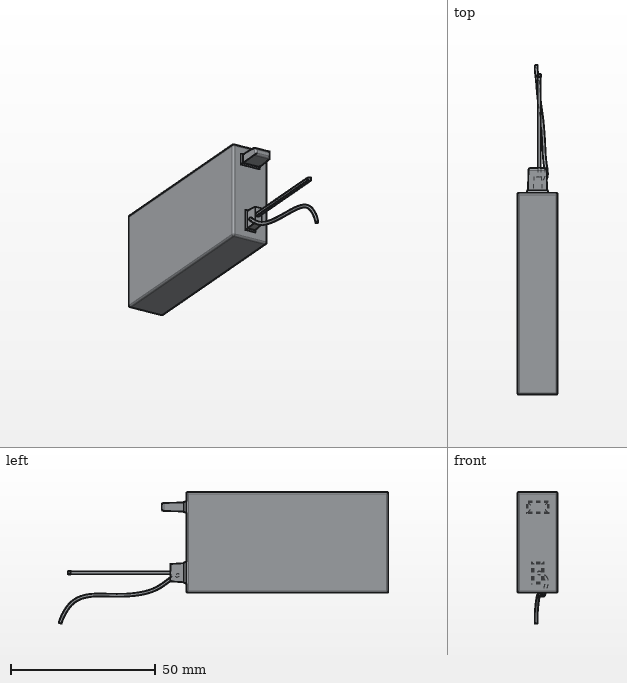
import cadquery as cq

CASE_WIDTH = 14.0
CASE_LENGTH = 70.0
CASE_HEIGHT = 35.0
CASE_FILLET = 0.7

FLANGE_WIDE_SIDE = 7.7
FLANGE_NARROW_SIDE = 4.2
FLANGE_THICKNESS = 0.8
FLANGE_TAPER = 24.0
BODY_WIDE_SIDE = 6.8
BODY_NARROW_SIDE = 3.3
TAB_Z = 29.75
TAB_LENGTH = 8.5
TAB_TAPER = 1.8
TAB_TIP_FILLET = 0.75
BOOT_Z = 7.0
BOOT_LENGTH = 5.5
BOOT_TAPER = 3.6

WIRE_THICKNESS = 1.1
WIRE_EMBED = 1.0
STRAIGHT_WIRE_X = 0.6
STRAIGHT_WIRE_Z = 7.0
STRAIGHT_WIRE_END_Y = 110.4
STRAIGHT_WIRE_TIP_RADIUS = 0.7

BENT_WIRE_PATH = [
    (0.8, 72.6, 6.4),
    (2.95, 75.4, 4.8),
    (2.7, 79.6, 1.9),
    (2.15, 87.0, -0.4),
    (1.4, 96.0, -0.8),
    (0.4, 103.7, -0.95),
    (0.0, 108.5, -2.65),
    (-0.35, 111.5, -5.85),
    (-0.4, 113.69, -10.49),
]


def end_plane(z, y=CASE_LENGTH):
    """Plane facing +Y, centred on the case width at height z."""
    return cq.Workplane(cq.Plane(origin=(0, y, z), xDir=(1, 0, 0), normal=(0, 1, 0)))


def make_case():
    box = cq.Workplane("XY").box(CASE_WIDTH, CASE_LENGTH, CASE_HEIGHT, centered=(True, False, False))
    return box.edges().fillet(CASE_FILLET)


def make_flange(z, width, height):
    return end_plane(z).rect(width, height).extrude(FLANGE_THICKNESS, taper=FLANGE_TAPER)


def make_tab():
    body = end_plane(TAB_Z).rect(BODY_WIDE_SIDE, BODY_NARROW_SIDE).extrude(TAB_LENGTH, taper=TAB_TAPER)
    body = body.faces(">Y").edges().fillet(TAB_TIP_FILLET)
    return body.union(make_flange(TAB_Z, FLANGE_WIDE_SIDE, FLANGE_NARROW_SIDE))


def make_boot():
    body = end_plane(BOOT_Z).rect(BODY_NARROW_SIDE, BODY_WIDE_SIDE).extrude(BOOT_LENGTH, taper=BOOT_TAPER)
    return body.union(make_flange(BOOT_Z, FLANGE_NARROW_SIDE, FLANGE_WIDE_SIDE))


def make_straight_wire():
    start_y = CASE_LENGTH + BOOT_LENGTH - WIRE_EMBED
    profile = end_plane(STRAIGHT_WIRE_Z, start_y).center(STRAIGHT_WIRE_X, 0)
    wire = profile.rect(WIRE_THICKNESS, WIRE_THICKNESS).extrude(STRAIGHT_WIRE_END_Y - start_y)
    tip_center = (STRAIGHT_WIRE_X, STRAIGHT_WIRE_END_Y, STRAIGHT_WIRE_Z)
    tip = cq.Workplane("XY").sphere(STRAIGHT_WIRE_TIP_RADIUS).translate(tip_center)
    return wire.union(tip)


def make_bent_wire():
    path = cq.Workplane("XY").spline([cq.Vector(*point) for point in BENT_WIRE_PATH])
    curve = path.val()
    start = cq.Plane(origin=curve.startPoint(), normal=curve.tangentAt(0))
    return cq.Workplane(start).circle(WIRE_THICKNESS / 2).sweep(path)


result = (
    make_case()
    .union(make_tab())
    .union(make_boot())
    .union(make_straight_wire())
    .union(make_bent_wire())
)